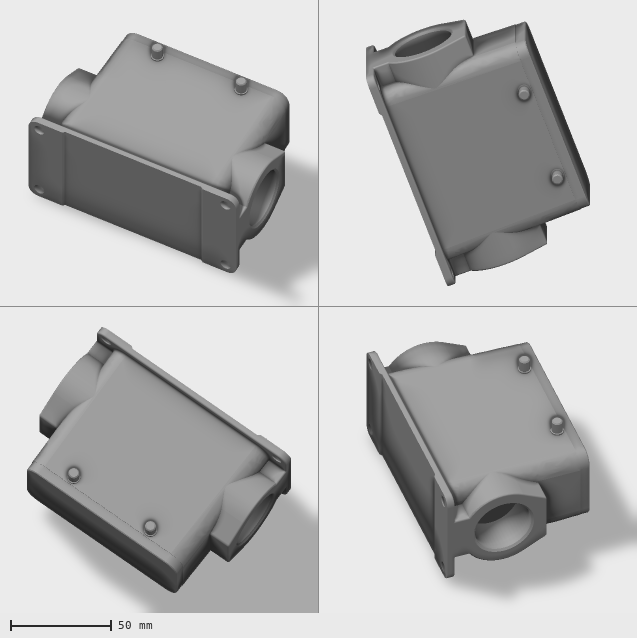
import cadquery as cq
import math


flange_length = 117.0
flange_width = 56.0
flange_thickness = 4.1
flange_corner_radius = 5.1
root_fillet = 0.7
hole_diameter = 5.7
hole_spacing_x = 105.1
hole_spacing_z = 45.4
relief_depth = 1.0
relief_floor_length = 76.5
relief_mouth_length = 79.3

total_depth = 80.3
rim_depth = 5.3
body_top = total_depth - rim_depth
body_base_length = 95.7
body_base_width = 45.4
body_draft_inset = 1.3
body_top_length = body_base_length - 2 * body_draft_inset
body_top_width = body_base_width - 2 * body_draft_inset
body_corner_radius = 7.7

rim_setback = 0.4
rim_length = body_top_length - 2 * rim_setback
rim_width = body_top_width - 2 * rim_setback
rim_corner_radius = 7.0
rim_edge_chamfer = 0.5

entry_center_y = 30.1
entry_radius = 22.1
entry_flat_y = 52.9
entry_flat_half_width = 13.0
entry_root_x = 37.4
entry_corner_fillet = 1.6
outer_edge_fillet = 0.8
web_half_width = 12.4
bore_radius = 15.0
bore_depth = 20.4
bore_mouth_chamfer = 1.0

pin_radius = 2.7
pin_chamfer = 0.6
pin_spacing = 47.3
pin_center_y = 71.1
pin_span = 57.7
pin_tip_z = pin_span / 2
collar_radius = 3.3
collar_top_z = 22.3

end_x = flange_length / 2


def plane_at(y):
    """Workplane facing +Y at the given height above the flange."""
    return cq.Workplane(cq.Plane((0, y, 0), (1, 0, 0), (0, 1, 0)))


def rounded_sketch(length, width, radius):
    return cq.Sketch().rect(length, width).vertices().fillet(radius)


def make_flange():
    outline = rounded_sketch(flange_length, flange_width, flange_corner_radius)
    return plane_at(0).placeSketch(outline).extrude(flange_thickness)


def make_body():
    base = rounded_sketch(body_base_length, body_base_width, body_corner_radius)
    top = rounded_sketch(body_top_length, body_top_width, body_corner_radius)
    height = cq.Location(cq.Vector(0, 0, body_top))
    return plane_at(0).placeSketch(base, top.moved(height)).loft()


def make_rim():
    outline = rounded_sketch(rim_length, rim_width, rim_corner_radius)
    rim = plane_at(body_top).placeSketch(outline).extrude(rim_depth)
    return rim.faces(">Y").edges().chamfer(rim_edge_chamfer)


def make_entry():
    """Boss on the +X end: a round side, slanted shoulders to a flat, and a web to the flange."""
    corner_offset = entry_flat_y - entry_center_y
    corner_distance = math.hypot(corner_offset, entry_flat_half_width)
    corner_angle = math.atan2(entry_flat_half_width, corner_offset)
    tangent_angle = corner_angle + math.acos(entry_radius / corner_distance)
    tangent_y = entry_center_y + entry_radius * math.cos(tangent_angle)
    tangent_z = entry_radius * math.sin(tangent_angle)
    web_y = entry_center_y - math.sqrt(entry_radius**2 - web_half_width**2)

    web_angle = math.pi - math.asin(web_half_width / entry_radius)
    mid_angle = (tangent_angle + web_angle) / 2
    mid_y = entry_center_y + entry_radius * math.cos(mid_angle)
    mid_z = entry_radius * math.sin(mid_angle)

    boss = (
        cq.Workplane("YZ", origin=(entry_root_x, 0, 0))
        .moveTo(0, -web_half_width)
        .lineTo(web_y, -web_half_width)
        .threePointArc((mid_y, -mid_z), (tangent_y, -tangent_z))
        .lineTo(entry_flat_y, -entry_flat_half_width)
        .lineTo(entry_flat_y, entry_flat_half_width)
        .lineTo(tangent_y, tangent_z)
        .threePointArc((mid_y, mid_z), (web_y, web_half_width))
        .lineTo(0, web_half_width)
        .close()
        .extrude(end_x - entry_root_x)
    )
    return boss.faces(">Y").edges("|X").fillet(entry_corner_fillet)


def make_bore():
    """Blind bore of the +X entry, widened by a chamfer at its mouth."""
    bore = (
        cq.Workplane("YZ", origin=(end_x - bore_depth, entry_center_y, 0))
        .circle(bore_radius)
        .extrude(bore_depth)
    )
    mouth = cq.Solid.makeCone(
        bore_radius,
        bore_radius + bore_mouth_chamfer,
        bore_mouth_chamfer,
        cq.Vector(end_x - bore_mouth_chamfer, entry_center_y, 0),
        cq.Vector(1, 0, 0),
    )
    return bore.union(cq.Workplane(mouth))


def make_pins(x):
    """Pair of opposed pins with collars, made as one rod running through the body."""
    middle = cq.Workplane("XY", origin=(x, pin_center_y, 0))
    rod = middle.circle(pin_radius).extrude(pin_tip_z, both=True)
    rod = rod.faces("<Z or >Z").edges().chamfer(pin_chamfer)
    return rod.union(middle.circle(collar_radius).extrude(collar_top_z, both=True))


def make_relief():
    """Shallow channel with sloped sides across the mounting face."""
    half_floor = relief_floor_length / 2
    half_mouth = relief_mouth_length / 2
    return (
        cq.Workplane("XY")
        .polyline([
            (-half_mouth, 0),
            (half_mouth, 0),
            (half_floor, relief_depth),
            (-half_floor, relief_depth),
        ])
        .close()
        .extrude(flange_width, both=True)
    )


def make_screw_holes():
    return (
        plane_at(0)
        .rect(hole_spacing_x, hole_spacing_z, forConstruction=True)
        .vertices()
        .circle(hole_diameter / 2)
        .extrude(flange_thickness)
    )


def make_shell():
    """Flange, body and both entries with their outer edges and root corners rounded."""
    entry = make_entry()
    shell = make_flange().union(make_body()).union(entry).union(entry.mirror("YZ"))

    above_flange_sides = cq.selectors.BoxSelector(
        (-flange_length, flange_thickness - root_fillet, -flange_width),
        (flange_length, total_depth, flange_width),
    )
    shell = shell.faces("<X or >X").edges(above_flange_sides).fillet(outer_edge_fillet)

    root_level = cq.selectors.BoxSelector(
        (-flange_length, flange_thickness - root_fillet / 2, -flange_width),
        (flange_length, flange_thickness + root_fillet / 2, flange_width),
        boundingbox=True,
    )
    return shell.edges(root_level).fillet(root_fillet)


result = make_shell().union(make_rim())
for pin_x in (-pin_spacing / 2, pin_spacing / 2):
    result = result.union(make_pins(pin_x))
result = result.cut(make_bore()).cut(make_bore().mirror("YZ"))
result = result.cut(make_relief()).cut(make_screw_holes())